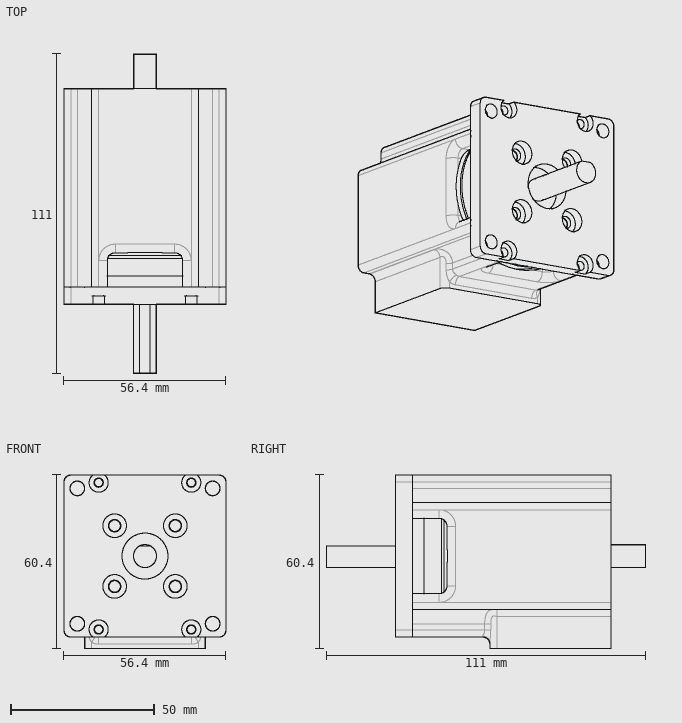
import cadquery as cq
import math


flange_thickness = 6.0
housing_length = 69.0
front_shaft_length = 24.0
rear_shaft_length = 12.0
housing_front = flange_thickness
housing_rear = housing_front + housing_length

square_side = 56.4
half_side = square_side / 2
edge_radius = 2.4

mount_hole_diameter = 5.0
mount_hole_offset = 23.5
shaft_bore_diameter = 16.0
core_screw_offset = 10.5
core_screw_diameter = 4.3
core_screw_head_diameter = 8.2
core_screw_head_depth = 4.0
rim_screw_x = 16.1
rim_screw_z = 25.5
rim_screw_diameter = 3.2
rim_screw_head_diameter = 6.7
rim_screw_head_depth = 3.0

groove_radius = 5.0
groove_wall = mount_hole_offset - groove_radius
window_width = 26.2
window_depth = 12.0
window_corner_radius = 2.8
window_rim_radius = 3.0
window_floor = 17.8
cavity_diameter = 52.0
cavity_depth = window_depth + window_rim_radius

core_diameter = 50
core_chamfer = 4.0
core_slot_start = 10
core_slot_width = 1.0
core_neck_diameter = 30

core_tap_diameter = 4.0
core_tap_depth = 8.0
rim_tap_diameter = 2.9
rim_tap_depth = 10
drill_tip_angle = 118

connector_width = 42.0
connector_length = 42.2
connector_bottom = -32.2
connector_top = -15.5
connector_radius = connector_width / 2 - groove_wall
connector_blend_radius = 2.4

shaft_diameter = 8.0
shaft_flat_height = 3.5

margin = 0.01


def four_places(x, z):
    """Return the four points mirrored about both the X and the Z axis."""
    return [(sx * x, sz * z) for sx in (-1, 1) for sz in (-1, 1)]


def plane_at(y):
    """Return a sketch plane at depth y whose local axes are X and Z and whose normal is -Y."""
    return cq.Workplane("XZ", origin=(0, y, 0))


def cylinders(points, diameter, y_start, y_end):
    """Return cylinders along Y, one at each (x, z) point."""
    return plane_at(y_start).pushPoints(points).circle(diameter / 2).extrude(y_start - y_end)


def make_flange():
    """Square plate with a shaft bore, corner mounting holes and two sets of counterbored holes."""
    flange = plane_at(0).rect(square_side, square_side).extrude(-flange_thickness)
    flange = flange.edges("|Y").fillet(edge_radius)
    mount_points = four_places(mount_hole_offset, mount_hole_offset)
    core_points = four_places(core_screw_offset, core_screw_offset)
    rim_points = four_places(rim_screw_x, rim_screw_z)
    flange = flange.cut(cylinders([(0, 0)], shaft_bore_diameter, 0, flange_thickness))
    flange = flange.cut(cylinders(mount_points, mount_hole_diameter, 0, flange_thickness))
    flange = flange.cut(cylinders(core_points, core_screw_diameter, 0, flange_thickness))
    flange = flange.cut(cylinders(core_points, core_screw_head_diameter, 0, core_screw_head_depth))
    flange = flange.cut(cylinders(rim_points, rim_screw_diameter, 0, flange_thickness))
    flange = flange.cut(cylinders(rim_points, rim_screw_head_diameter, 0, rim_screw_head_depth))
    return flange


def housing_bar():
    """Square bar with a rounded groove along each corner, for access to the mounting holes."""
    bar = plane_at(housing_front).rect(square_side, square_side).extrude(-housing_length)
    notch_side = half_side - groove_wall
    notch_center = groove_wall + notch_side / 2
    notches = (
        plane_at(housing_front)
        .pushPoints(four_places(notch_center, notch_center))
        .rect(notch_side, notch_side)
        .extrude(-housing_length)
    )
    bar = bar.cut(notches)
    for x, z in four_places(groove_wall, groove_wall):
        bar = bar.edges(cq.selectors.NearestToPointSelector((x, housing_rear / 2, z))).fillet(groove_radius)
    outer_edges = [
        edge for edge in bar.edges("|Y").vals()
        if max(abs(edge.Center().x), abs(edge.Center().z)) > half_side - margin
    ]
    return bar.newObject([bar.val().fillet(edge_radius, outer_edges)])


def windowed_block():
    """Square block with a round-rimmed window in the front of each side."""
    block = plane_at(housing_front).rect(square_side, square_side).extrude(-housing_length)
    window_side = window_width / 2
    window_rear = housing_front + window_depth
    pocket = (
        cq.Workplane("XY", origin=(0, 0, window_floor))
        .moveTo(-window_side, housing_front)
        .lineTo(-window_side, window_rear - window_corner_radius)
        .radiusArc((-window_side + window_corner_radius, window_rear), window_corner_radius)
        .lineTo(window_side - window_corner_radius, window_rear)
        .radiusArc((window_side, window_rear - window_corner_radius), window_corner_radius)
        .lineTo(window_side, housing_front)
        .close()
        .extrude(half_side - window_floor)
    )
    for turn in range(4):
        block = block.cut(pocket.rotate((0, 0, 0), (0, 1, 0), 90 * turn))
    rim_edges = [
        edge for edge in block.edges().vals()
        if edge.BoundingBox().ymin > housing_front - margin
        and edge.BoundingBox().ymax < window_rear + margin
        and edge.BoundingBox().ymax > housing_front + margin
        and max(abs(edge.Center().x), abs(edge.Center().z)) > half_side - margin
    ]
    return block.newObject([block.val().fillet(window_rim_radius, rim_edges)])


def make_core():
    """Round core with a chamfered front end and a narrow slot down to its neck."""
    slot_front = housing_front + core_slot_start
    slot_rear = slot_front + core_slot_width
    disk = cylinders([(0, 0)], core_diameter, housing_front, slot_front)
    disk = disk.faces("<Y").edges().chamfer(core_chamfer)
    neck = cylinders([(0, 0)], core_neck_diameter, slot_front, slot_rear)
    base = cylinders([(0, 0)], core_diameter, slot_rear, housing_rear)
    return disk.union(neck).union(base)


def add_connector(housing):
    """Add a block flush with the rear face, blended into the housing all round."""
    block_front = housing_rear - connector_length
    block_height = connector_top - connector_bottom
    block = (
        cq.Workplane()
        .box(connector_width, connector_length, block_height, centered=(True, False, False))
        .edges("|Z and <Y")
        .fillet(connector_radius)
        .translate((0, block_front, connector_bottom))
    )
    joined = housing.union(block)
    blend_edges = [
        edge for edge in joined.edges().vals()
        if edge.BoundingBox().ymin > block_front - margin
        and edge.BoundingBox().zmin > -half_side - margin
        and edge.BoundingBox().zmax < connector_top
        and abs(edge.Center().x) < connector_width / 2 + margin
        and edge.Center().y < housing_rear - margin
    ]
    return joined.newObject([joined.val().fillet(connector_blend_radius, blend_edges)])


def drilled_holes(points, diameter, depth):
    """Return blind holes with conical tips, entering the housing front."""
    radius = diameter / 2
    tip = radius / math.tan(math.radians(drill_tip_angle / 2))
    hole = (
        cq.Workplane("XY")
        .polyline([(0, 0), (radius, 0), (radius, depth), (0, depth + tip)])
        .close()
        .revolve(360, (0, 0, 0), (0, 1, 0))
    )
    holes = cq.Workplane()
    for x, z in points:
        holes = holes.add(hole.translate((x, housing_front, z)))
    return holes.combine()


def make_housing():
    """Grooved, windowed housing with its connector block, core and tapped holes."""
    housing = add_connector(housing_bar().intersect(windowed_block()))
    cavity_rear = housing_front + cavity_depth
    core_tap_rear = housing_front + core_tap_depth
    housing = housing.cut(cylinders([(0, 0)], cavity_diameter, housing_front, cavity_rear))
    housing = housing.union(make_core())
    core_points = four_places(core_screw_offset, core_screw_offset)
    rim_points = four_places(rim_screw_x, rim_screw_z)
    housing = housing.cut(cylinders(core_points, core_tap_diameter, housing_front, core_tap_rear))
    housing = housing.cut(drilled_holes(rim_points, rim_tap_diameter, rim_tap_depth))
    return housing.cut(cylinders([(0, 0)], shaft_diameter, housing_front, housing_rear))


def make_shaft():
    """Round shaft through the whole motor, with a flat on top of its front end."""
    front_end = -front_shaft_length
    shaft = cylinders([(0, 0)], shaft_diameter, front_end, housing_rear + rear_shaft_length)
    flat_cut = cq.Workplane().box(
        shaft_diameter, front_shaft_length, shaft_diameter, centered=(True, False, False)
    )
    return shaft.cut(flat_cut.translate((0, front_end, shaft_flat_height)))


flange = make_flange()
housing = make_housing()
shaft = make_shaft()

result = cq.Compound.makeCompound([flange.val(), housing.val(), shaft.val()])